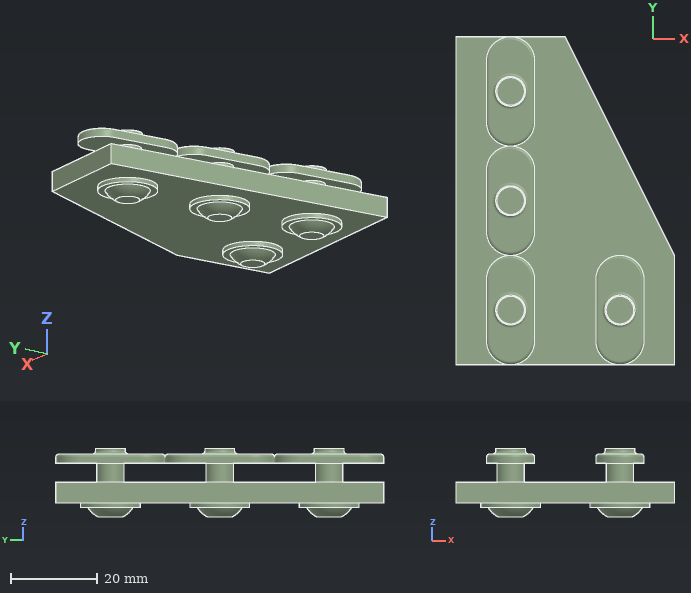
import cadquery as cq
import math

plate_length = 76.2
cell_rows = 3
cell_columns = 2
cell = plate_length / cell_rows
plate_width = cell_columns * cell
plate_thickness = 4.9

flange_diameter = 13.95
flange_thickness = 1.1
dome_base_diameter = 10.5
dome_height = 2.2
crown_diameter = 5.65
shank_diameter = 6.4
overall_height = 16.0

nut_length = cell
nut_width = 11.2
nut_bottom_z = 12.5
nut_thickness = 2.2
nut_edge_radius = 0.8
collar_diameter = 6.9
collar_root_radius = 0.8

plate_bottom_z = dome_height + flange_thickness
nut_top_z = nut_bottom_z + nut_thickness

screw_cells = [(0, 0), (0, 1), (0, 2), (1, 0)]
screw_positions = [((column + 0.5) * cell, (row + 0.5) * cell) for column, row in screw_cells]


def make_plate():
    """Plate with one sloping edge and a close-fitting hole for every screw."""
    outline = [
        (0, 0),
        (plate_width, 0),
        (plate_width, cell),
        (cell, plate_length),
        (0, plate_length),
    ]
    blank = (
        cq.Workplane("XY", origin=(0, 0, plate_bottom_z))
        .polyline(outline)
        .close()
        .extrude(plate_thickness)
    )
    holes = (
        cq.Workplane("XY", origin=(0, 0, plate_bottom_z))
        .pushPoints(screw_positions)
        .circle(shank_diameter / 2)
        .extrude(plate_thickness)
    )
    return blank.cut(holes)


def make_screw(x, y):
    """Screw turned from a half profile: domed head, flange and plain shank."""
    crown_radius = crown_diameter / 2
    dome_base_radius = dome_base_diameter / 2
    flange_radius = flange_diameter / 2
    shank_radius = shank_diameter / 2

    sphere_centre_z = (dome_base_radius**2 + dome_height**2 - crown_radius**2) / (2 * dome_height)
    sphere_radius = math.hypot(crown_radius, sphere_centre_z)
    dome_middle_z = dome_height / 2
    dome_middle_radius = math.sqrt(sphere_radius**2 - (sphere_centre_z - dome_middle_z) ** 2)

    profile = (
        cq.Workplane("XZ")
        .moveTo(0, 0)
        .lineTo(crown_radius, 0)
        .threePointArc((dome_middle_radius, dome_middle_z), (dome_base_radius, dome_height))
        .lineTo(flange_radius, dome_height)
        .lineTo(flange_radius, plate_bottom_z)
        .lineTo(shank_radius, plate_bottom_z)
        .lineTo(shank_radius, overall_height)
        .lineTo(0, overall_height)
        .close()
    )
    return profile.revolve(360, (0, 0), (0, 1)).translate((x, y, 0))


def make_nut(x, y):
    """Oblong nut with a rounded top edge, a filleted collar and a bore for the shank."""
    bar = (
        cq.Workplane("XY", origin=(0, 0, nut_bottom_z))
        .slot2D(nut_length, nut_width, 90)
        .extrude(nut_thickness)
        .faces(">Z")
        .edges()
        .fillet(nut_edge_radius)
    )
    collar_radius = collar_diameter / 2
    root_outer_radius = collar_radius + collar_root_radius
    collar_profile = (
        cq.Workplane("XZ")
        .moveTo(0, nut_top_z)
        .lineTo(root_outer_radius, nut_top_z)
        .radiusArc((collar_radius, nut_top_z + collar_root_radius), collar_root_radius)
        .lineTo(collar_radius, overall_height)
        .lineTo(0, overall_height)
        .close()
    )
    collar = collar_profile.revolve(360, (0, 0), (0, 1))
    bore = (
        cq.Workplane("XY", origin=(0, 0, nut_bottom_z))
        .circle(shank_diameter / 2)
        .extrude(overall_height - nut_bottom_z)
    )
    return bar.union(collar).cut(bore).translate((x, y, 0))


plate = make_plate()
screws = [make_screw(x, y) for x, y in screw_positions]
nuts = [make_nut(x, y) for x, y in screw_positions]

bodies = [plate, *screws, *nuts]
result = cq.Compound.makeCompound([body.val() for body in bodies])